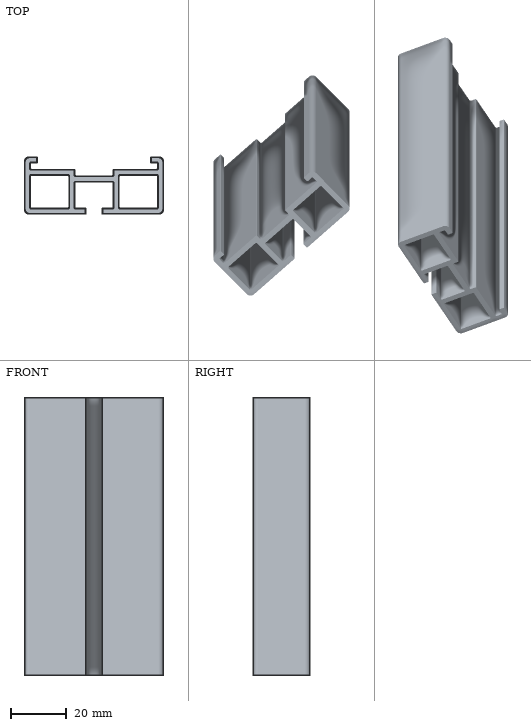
import cadquery as cq

width = 50.0
depth = 20.5
length = 100.0

wall = 2.0
outer_radius = 1.8
inner_radius = 0.4
tip_radius = 0.3
step_radius = 0.6
deck_height = 16.0
bridge_height = 13.6
channel_width = 14.0
slot_width = 6.0
lip_length = 4.5

inside_width = width - 2 * wall
box_width = (inside_width - channel_width) / 2 - wall
box_center = (channel_width + box_width) / 2 + wall
lip_gap = width - 2 * lip_length


def prism(x_center, x_size, y_start, y_end):
    """Full-length block spanning y_start to y_end."""
    return (
        cq.Workplane("XY")
        .center(x_center, (y_start + y_end) / 2)
        .rect(x_size, y_end - y_start)
        .extrude(length)
    )


def rounded_prism(x_center, x_size, y_start, y_end, radius=inner_radius, edges="|Z"):
    """Full-length block with small rounds on the selected edges."""
    return prism(x_center, x_size, y_start, y_end).edges(edges).fillet(radius)


result = prism(0, width, 0, depth).edges("|Z").fillet(outer_radius)

for side in (-1, 1):
    result = result.cut(rounded_prism(side * box_center, box_width, wall, deck_height - wall))

result = result.cut(rounded_prism(0, channel_width, wall, bridge_height - wall))
result = result.cut(prism(0, slot_width, 0, wall + inner_radius))

result = result.cut(rounded_prism(0, inside_width, deck_height, depth - wall))
result = result.cut(prism(0, lip_gap, deck_height + wall / 2, depth))
result = result.cut(rounded_prism(0, channel_width, bridge_height, depth, step_radius, "|Z and <Y"))

free_edges = [
    (slot_width / 2, 0),
    (slot_width / 2, wall),
    (channel_width / 2, deck_height),
    (lip_gap / 2, depth - wall),
    (lip_gap / 2, depth),
]
for x, y in free_edges:
    for side in (-1, 1):
        edge = cq.NearestToPointSelector((side * x, y, length / 2))
        result = result.edges("|Z").edges(edge).fillet(tip_radius)